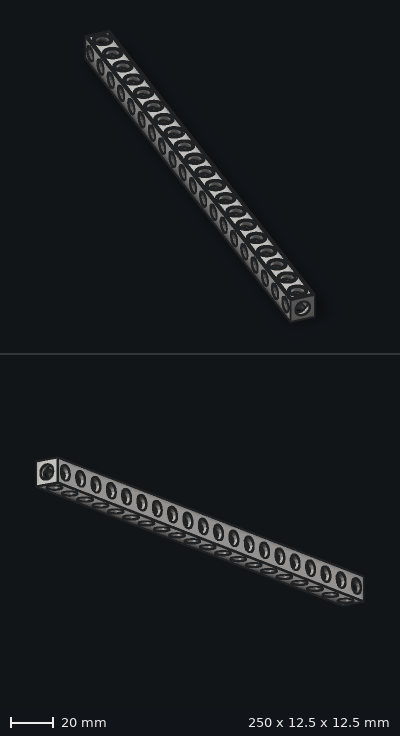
import cadquery as cq

pitch = 12.5
hole_count = 20
hole_diameter = 7.0
bevel = 0.3
rim_width = 0.8
recess_depth = 0.2

width = pitch
length = hole_count * pitch
rim_inset = bevel + rim_width
hole_radius = hole_diameter / 2
mouth_radius = hole_radius + bevel
rim_radius = mouth_radius + rim_width


def hole_positions(workplane):
    """Centre the row of evenly spaced hole positions on a workplane."""
    return workplane.rarray(pitch, width, hole_count, 1)


def bevelled_drill(depth):
    """Cutter along Z, centred on the origin, that bevels both mouths of the hole it makes."""
    half_depth = depth / 2
    return (
        cq.Workplane("XZ")
        .moveTo(0, -half_depth)
        .lineTo(mouth_radius, -half_depth)
        .lineTo(hole_radius, -half_depth + bevel)
        .lineTo(hole_radius, half_depth - bevel)
        .lineTo(mouth_radius, half_depth)
        .lineTo(0, half_depth)
        .close()
        .revolve(360, (0, 0, 0), (0, 1, 0))
    )


beam = cq.Workplane("XY").box(length, width, width).edges().chamfer(bevel)

recess_floor = cq.Workplane("XY").workplane(offset=width / 2 - recess_depth)
recess = recess_floor.rect(length - 2 * rim_inset, width - 2 * rim_inset).extrude(recess_depth)
rims = hole_positions(recess_floor).circle(rim_radius).extrude(recess_depth)
beam = beam.cut(recess.cut(rims))

cross_drill = bevelled_drill(width).val()
vertical_drills = hole_positions(cq.Workplane("XY")).eachpoint(cross_drill, combine=False)
level_drills = vertical_drills.rotate((0, 0, 0), (1, 0, 0), 90)
beam = beam.cut(vertical_drills).cut(level_drills)

long_drill = bevelled_drill(length).rotate((0, 0, 0), (0, 1, 0), 90)
beam = beam.cut(long_drill)

result = beam